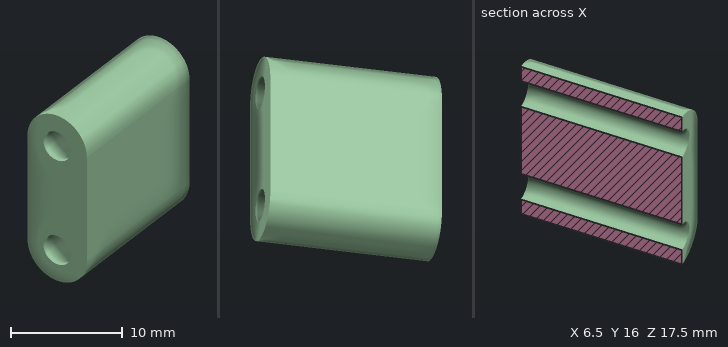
import cadquery as cq

height = 17.5
width = 6.5
depth = 16.0

hole_diameter = 3.0
hole_spacing = height - width

body = (
    cq.Workplane("XZ")
    .slot2D(height, width, angle=90)
    .extrude(depth / 2, both=True)
)

holes = (
    cq.Workplane("XZ")
    .pushPoints([(0, hole_spacing / 2), (0, -hole_spacing / 2)])
    .circle(hole_diameter / 2)
    .extrude(depth / 2, both=True)
)

result = body.cut(holes)